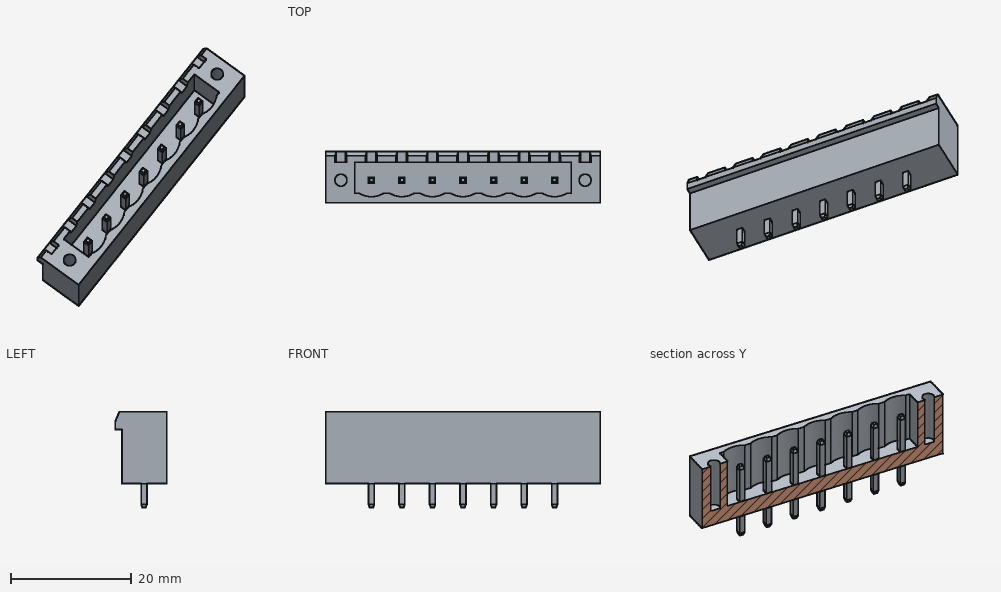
import cadquery as cq


PIN_COUNT = 7
PITCH = 5.08
PIN_WIDTH = 1.0
PIN_TIP_WIDTH = 0.6
PIN_TIP_LENGTH = 0.6
PIN_TAIL = 4.0
PIN_TOP_RECESS = 2.0

BODY_LENGTH = (PIN_COUNT + 2) * PITCH
BODY_DEPTH = 7.5
BODY_HEIGHT = 12.0
FRONT_Y = -3.8
BACK_Y = FRONT_Y + BODY_DEPTH

LIP_OVERHANG = 1.1
LIP_HEIGHT = 3.0
BEVEL_HEIGHT = 1.6
BEVEL_DEPTH = 0.7
LIP_Y = BACK_Y + LIP_OVERHANG

CAVITY_LENGTH = 36.0
CAVITY_FRONT_Y = FRONT_Y + 1.6
CAVITY_BACK_Y = LIP_Y - 1.8
CAVITY_DEPTH = 9.0
CAVITY_FLOOR_Z = BODY_HEIGHT - CAVITY_DEPTH
SCALLOP_WIDTH = 4.0
SCALLOP_DEPTH = 0.55

NOTCH_TOP_WIDTH = 2.0
NOTCH_FLOOR_WIDTH = 1.5
NOTCH_DEPTH = 1.6

HOLE_DIAMETER = 2.0
HOLE_DEPTH = CAVITY_DEPTH


def row_positions(count):
    """X positions of a row of features at the pin pitch, centred on X = 0."""
    return [(i - (count - 1) / 2) * PITCH for i in range(count)]


PIN_POSITIONS = row_positions(PIN_COUNT)
NOTCH_POSITIONS = row_positions(PIN_COUNT + 2)
HOLE_POSITIONS = [NOTCH_POSITIONS[0], NOTCH_POSITIONS[-1]]


def make_body():
    """Solid body with the bevelled lip, extruded along X from its YZ profile."""
    profile = [
        (FRONT_Y, 0),
        (BACK_Y, 0),
        (BACK_Y, BODY_HEIGHT - LIP_HEIGHT),
        (LIP_Y, BODY_HEIGHT - LIP_HEIGHT),
        (LIP_Y, BODY_HEIGHT - BEVEL_HEIGHT),
        (LIP_Y - BEVEL_DEPTH, BODY_HEIGHT),
        (FRONT_Y, BODY_HEIGHT),
    ]
    return cq.Workplane("YZ").polyline(profile).close().extrude(BODY_LENGTH / 2, both=True)


def make_cavity():
    """Open-topped pocket whose front wall is scalloped in front of every pin."""
    half_length = CAVITY_LENGTH / 2
    outline = (
        cq.Workplane("XY", origin=(0, 0, CAVITY_FLOOR_Z))
        .moveTo(-half_length, CAVITY_BACK_Y)
        .lineTo(-half_length, CAVITY_FRONT_Y)
    )
    for x in PIN_POSITIONS:
        outline = outline.lineTo(x - SCALLOP_WIDTH / 2, CAVITY_FRONT_Y).threePointArc(
            (x, CAVITY_FRONT_Y - SCALLOP_DEPTH),
            (x + SCALLOP_WIDTH / 2, CAVITY_FRONT_Y),
        )
    outline = outline.lineTo(half_length, CAVITY_FRONT_Y).lineTo(half_length, CAVITY_BACK_Y)
    return outline.close().extrude(CAVITY_DEPTH)


def make_notch(x):
    """Trapezoidal notch from the cavity's back plane out through the lip."""
    floor_z = BODY_HEIGHT - NOTCH_DEPTH
    section = [
        (x - NOTCH_TOP_WIDTH / 2, BODY_HEIGHT),
        (x - NOTCH_FLOOR_WIDTH / 2, floor_z),
        (x + NOTCH_FLOOR_WIDTH / 2, floor_z),
        (x + NOTCH_TOP_WIDTH / 2, BODY_HEIGHT),
    ]
    return (
        cq.Workplane("XZ", origin=(0, CAVITY_BACK_Y, 0))
        .polyline(section)
        .close()
        .extrude(CAVITY_BACK_Y - LIP_Y)
    )


def make_flange_hole(x):
    """Blind hole in the top of an end flange."""
    hole = cq.Workplane("XY", origin=(x, 0, BODY_HEIGHT)).circle(HOLE_DIAMETER / 2)
    return hole.extrude(-HOLE_DEPTH)


def make_pin_tip(x, shoulder_z, end_z):
    """Tapered square tip running from the pin shaft to its end."""
    return (
        cq.Workplane("XY", origin=(x, 0, shoulder_z))
        .rect(PIN_WIDTH, PIN_WIDTH)
        .workplane(offset=end_z - shoulder_z)
        .rect(PIN_TIP_WIDTH, PIN_TIP_WIDTH)
        .loft(ruled=True)
    )


def make_pin(x):
    """Square contact pin, tapered at both ends."""
    bottom_z = -PIN_TAIL
    top_z = BODY_HEIGHT - PIN_TOP_RECESS
    shaft_bottom_z = bottom_z + PIN_TIP_LENGTH
    shaft_top_z = top_z - PIN_TIP_LENGTH
    shaft = (
        cq.Workplane("XY", origin=(x, 0, shaft_bottom_z))
        .rect(PIN_WIDTH, PIN_WIDTH)
        .extrude(shaft_top_z - shaft_bottom_z)
    )
    lower_tip = make_pin_tip(x, shaft_bottom_z, bottom_z)
    upper_tip = make_pin_tip(x, shaft_top_z, top_z)
    return shaft.union(lower_tip).union(upper_tip)


result = make_body().cut(make_cavity())
for notch_x in NOTCH_POSITIONS:
    result = result.cut(make_notch(notch_x))
for hole_x in HOLE_POSITIONS:
    result = result.cut(make_flange_hole(hole_x))
for pin_x in PIN_POSITIONS:
    result = result.union(make_pin(pin_x))